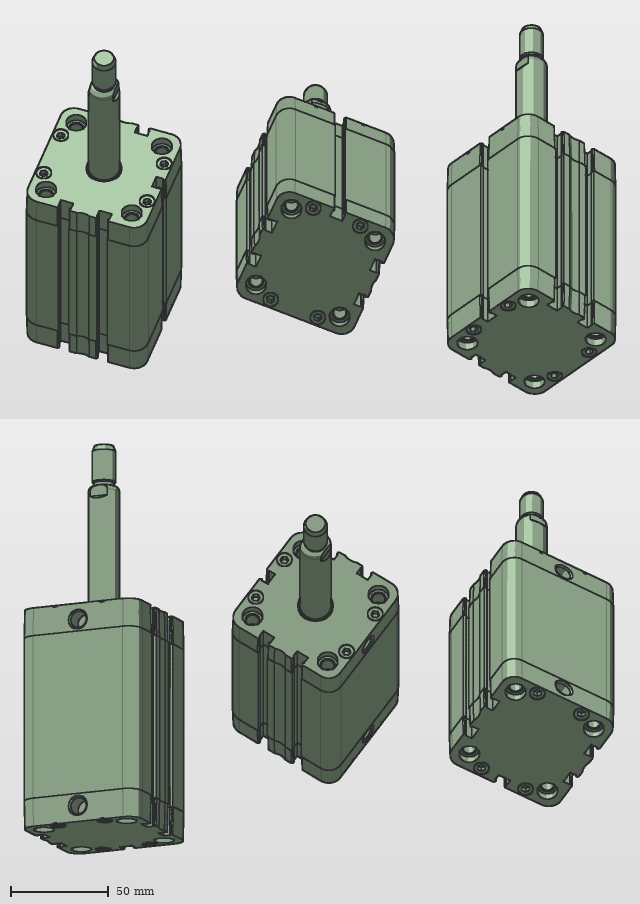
import cadquery as cq
import math

TOTAL_HEIGHT = 205.0
BODY_WIDTH = 65.5
CORNER_RADIUS = 7.5
CAP_HEIGHT = 14.8
CAP_DRAFT = 0.37
ROD_EXPOSED = 89.8

SLOT_SPACING = 21.0
SLOT_NECK_WIDTH = 5.5
SLOT_WIDTH = 6.8
SLOT_LIP = 1.8
SLOT_DEPTH = 5.5
CAP_SLOT_CHAMFER = 0.6
FLUTE_WIDTH = 6.8
FLUTE_DIAMETER = 16.6

MOUNT_SPACING = 46.5
MOUNT_BORE_DIAMETER = 10.5
MOUNT_BORE_DEPTH = 4.5
MOUNT_MOUTH_DIAMETER = 7.5
MOUNT_HOLE_DIAMETER = 6.5

SCREW_SPACING_X = 56.2
SCREW_SPACING_Y = 26.2
SCREW_RECESS_DIAMETER = 7.8
SCREW_RECESS_DEPTH = 0.6
HEX_ACROSS_FLATS = 3.7
HEX_DEPTH = 3.0

PORT_OFFSET = 8.5
PORT_MOUTH_DIAMETER = 10.5
PORT_DIAMETER = 8.6
PORT_DEPTH = 10.2
AIRWAY_DIAMETER = 3.5
AIRWAY_DROP = 2.0
AIRWAY_DEPTH = 4.0
HOLLOW_END_RADIUS = 19.3

SEAL_RECESS_DIAMETER = 18.0
SEAL_RECESS_DEPTH = 1.0
SEAL_LIP_TOP_DIAMETER = 16.6
SEAL_LIP_BASE_DIAMETER = 17.6

ROD_DIAMETER = 16.0
THREAD_LENGTH = 21.3
THREAD_DIAMETER = 12.0
THREAD_TIP_DIAMETER = 10.0
THREAD_TIP_CHAMFER = 2.9
NECK_DIAMETER = 10.5
NECK_LENGTH = 2.5
NECK_TAPER = 0.6
FLAT_ACROSS = 13.0
FLAT_LENGTH = 6.0

HALF_WIDTH = BODY_WIDTH / 2
FRONT_FACE = TOTAL_HEIGHT - ROD_EXPOSED
FRONT_SEAM = FRONT_FACE - CAP_HEIGHT
TUBE_LENGTH = FRONT_SEAM - CAP_HEIGHT


def slot_cutter(height):
    """T-slot running up the +Y wall, centred on X = 0."""
    neck_depth = SLOT_LIP + SLOT_DEPTH
    neck = cq.Workplane("XY").center(0, HALF_WIDTH).rect(SLOT_NECK_WIDTH, neck_depth).extrude(height)
    room_depth = SLOT_DEPTH - SLOT_LIP
    room_center = HALF_WIDTH - SLOT_LIP - room_depth / 2
    room = cq.Workplane("XY").center(0, room_center).rect(SLOT_WIDTH, room_depth).extrude(height)
    return room.union(neck)


def flute_cutter(height, lean):
    """Concave flute up the +Y wall; it leans in by lean over the height, as the wall does."""
    radius = FLUTE_DIAMETER / 2
    axis_to_wall = math.sqrt(radius**2 - (FLUTE_WIDTH / 2) ** 2)
    foot = HALF_WIDTH + axis_to_wall
    return (
        cq.Workplane("XY").center(0, foot).circle(radius)
        .workplane(offset=height).center(0, -lean).circle(radius).loft()
    )


def chamfer_cutter(height, lean):
    """Wedge that chamfers both mouth edges of a slot up a wall that leans in by lean."""
    neck = SLOT_NECK_WIDTH / 2
    mouth = neck + CAP_SLOT_CHAMFER
    root = HALF_WIDTH - CAP_SLOT_CHAMFER
    wedge = [(-neck, root), (neck, root), (mouth, HALF_WIDTH), (mouth, HALF_WIDTH + 2),
             (-mouth, HALF_WIDTH + 2), (-mouth, HALF_WIDTH)]
    return (
        cq.Workplane("XY").polyline(wedge).close()
        .workplane(offset=height).center(0, -lean).polyline(wedge).close().loft(ruled=True)
    )


def profiled_block(height, lean=0.0):
    """Rounded square block on Z = 0 with slots and flutes; walls lean in by lean over the height."""
    draft = math.degrees(math.atan(lean / height))
    outline = cq.Sketch().rect(BODY_WIDTH, BODY_WIDTH).vertices().fillet(CORNER_RADIUS)
    block = cq.Workplane("XY").placeSketch(outline).extrude(height, taper=draft)
    slot = slot_cutter(height)
    if lean > 0:
        slot = slot.union(chamfer_cutter(height, lean))
    flute = flute_cutter(height, lean)
    for turn in (0, 180):
        for x in (-SLOT_SPACING / 2, SLOT_SPACING / 2):
            block = block.cut(slot.translate((x, 0, 0)).rotate((0, 0, 0), (0, 0, 1), turn))
        block = block.cut(flute.rotate((0, 0, 0), (0, 0, 1), turn))
    return block.cut(slot.rotate((0, 0, 0), (0, 0, 1), -90))


def cone(base_diameter, top_diameter, height):
    return cq.Workplane(cq.Solid.makeCone(base_diameter / 2, top_diameter / 2, height))


def hollow_ended_bore(diameter, depth):
    """Bore along +X from X = 0 whose far end is hollowed about the Y direction."""
    bore = cq.Workplane("YZ").circle(diameter / 2).extrude(depth)
    hollow = cq.Workplane("XZ").center(depth - HOLLOW_END_RADIUS, 0).circle(HOLLOW_END_RADIUS)
    return bore.intersect(hollow.extrude(diameter, both=True))


def port_mouth():
    """Chamfered mouth of an air port along +X; X = 0 is the plane of the full body width."""
    chamfer = (PORT_MOUTH_DIAMETER - PORT_DIAMETER) / 2
    wall = CAP_DRAFT * (CAP_HEIGHT - PORT_OFFSET) / CAP_HEIGHT
    lead = cq.Workplane("YZ").circle(PORT_MOUTH_DIAMETER / 2).extrude(wall)
    flare = cone(PORT_MOUTH_DIAMETER, PORT_DIAMETER, chamfer).rotate((0, 0, 0), (0, 1, 0), 90)
    return lead.union(flare.translate((wall, 0, 0)))


def mount_hole_cutter():
    """Stepped corner hole opening at Z = 0 and running down through the cap."""
    chamfer = (MOUNT_MOUTH_DIAMETER - MOUNT_HOLE_DIAMETER) / 2
    bore = cq.Workplane("XY").circle(MOUNT_BORE_DIAMETER / 2).extrude(-MOUNT_BORE_DEPTH)
    hole = cq.Workplane("XY").circle(MOUNT_HOLE_DIAMETER / 2).extrude(-CAP_HEIGHT)
    flare = cone(MOUNT_HOLE_DIAMETER, MOUNT_MOUTH_DIAMETER, chamfer)
    return bore.union(hole).union(flare.translate((0, 0, -MOUNT_BORE_DEPTH - chamfer)))


def screw_cutter():
    """Shallow round recess with a hexagon socket in its floor, opening at Z = 0."""
    corners = HEX_ACROSS_FLATS / math.cos(math.pi / 6)
    recess = cq.Workplane("XY").circle(SCREW_RECESS_DIAMETER / 2).extrude(-SCREW_RECESS_DEPTH)
    socket = cq.Workplane("XY").polygon(6, corners).extrude(-SCREW_RECESS_DEPTH - HEX_DEPTH)
    return recess.union(socket.rotate((0, 0, 0), (0, 0, 1), 90))


def make_cap(port_bore):
    """Cap with its outer face up and joint face on Z = 0; port_bore runs along +X from X = 0."""
    cap = profiled_block(CAP_HEIGHT, CAP_DRAFT)
    mount_hole = mount_hole_cutter()
    screw = screw_cutter()
    for side_x in (-0.5, 0.5):
        for side_y in (-0.5, 0.5):
            cap = cap.cut(mount_hole.translate((side_x * MOUNT_SPACING, side_y * MOUNT_SPACING, CAP_HEIGHT)))
            cap = cap.cut(screw.translate((side_x * SCREW_SPACING_X, side_y * SCREW_SPACING_Y, CAP_HEIGHT)))
    port = port_mouth().union(port_bore)
    return cap.cut(port.translate((-HALF_WIDTH, 0, CAP_HEIGHT - PORT_OFFSET)))


def make_front_cap():
    """Upper cap: adds the airway in the port floor and the sealed passage for the rod."""
    port_bore = cq.Workplane("YZ").circle(PORT_DIAMETER / 2).extrude(PORT_DEPTH)
    airway = hollow_ended_bore(AIRWAY_DIAMETER, AIRWAY_DEPTH).translate((PORT_DEPTH, 0, -AIRWAY_DROP))
    passage = cq.Workplane("XY").circle(ROD_DIAMETER / 2).extrude(CAP_HEIGHT)
    recess = cq.Workplane("XY").circle(SEAL_RECESS_DIAMETER / 2).extrude(SEAL_RECESS_DEPTH)
    lip = cone(SEAL_LIP_BASE_DIAMETER, SEAL_LIP_TOP_DIAMETER, SEAL_RECESS_DEPTH)
    seal_groove = recess.cut(lip).translate((0, 0, CAP_HEIGHT - SEAL_RECESS_DEPTH))
    cap = make_cap(port_bore.union(airway)).cut(seal_groove).cut(passage)
    return cap.translate((0, 0, FRONT_SEAM))


def make_rear_cap():
    port_bore = hollow_ended_bore(PORT_DIAMETER, PORT_DEPTH)
    return make_cap(port_bore).mirror("XY").translate((0, 0, CAP_HEIGHT))


def make_tube():
    return profiled_block(TUBE_LENGTH).translate((0, 0, CAP_HEIGHT))


def flat_cutter(shoulder):
    """Wrench flat on the +X side of the rod, ending in a 45 degree run-out."""
    face = FLAT_ACROSS / 2
    runout = ROD_DIAMETER / 2 - face
    end = shoulder - FLAT_LENGTH
    return (
        cq.Workplane("XZ")
        .moveTo(face, shoulder).lineTo(face, end).lineTo(face + runout, end - runout)
        .lineTo(face + runout, shoulder).close()
        .extrude(ROD_DIAMETER / 2, both=True)
    )


def make_rod():
    """Piston rod standing on the tube, turned about Z, with a rounded shoulder and two wrench flats."""
    shoulder = TOTAL_HEIGHT - THREAD_LENGTH
    thread_end = shoulder + NECK_LENGTH
    round_radius = (ROD_DIAMETER - NECK_DIAMETER) / 2
    round_middle = round_radius * math.sqrt(0.5)
    outline = (
        cq.Workplane("XZ")
        .moveTo(0, FRONT_SEAM)
        .lineTo(ROD_DIAMETER / 2, FRONT_SEAM)
        .lineTo(ROD_DIAMETER / 2, shoulder - round_radius)
        .threePointArc(
            (NECK_DIAMETER / 2 + round_middle, shoulder - round_radius + round_middle),
            (NECK_DIAMETER / 2, shoulder),
        )
        .lineTo(NECK_DIAMETER / 2, thread_end - NECK_TAPER)
        .lineTo(THREAD_DIAMETER / 2, thread_end)
        .lineTo(THREAD_DIAMETER / 2, TOTAL_HEIGHT - THREAD_TIP_CHAMFER)
        .lineTo(THREAD_TIP_DIAMETER / 2, TOTAL_HEIGHT)
        .lineTo(0, TOTAL_HEIGHT)
        .close()
    )
    rod = outline.revolve(360, (0, 0, 0), (0, 1, 0))
    flat = flat_cutter(shoulder)
    return rod.cut(flat).cut(flat.mirror("YZ"))


front_cap = make_front_cap()
rear_cap = make_rear_cap()
tube = make_tube()
rod = make_rod()

result = cq.Compound.makeCompound([front_cap.val(), rear_cap.val(), tube.val(), rod.val()])